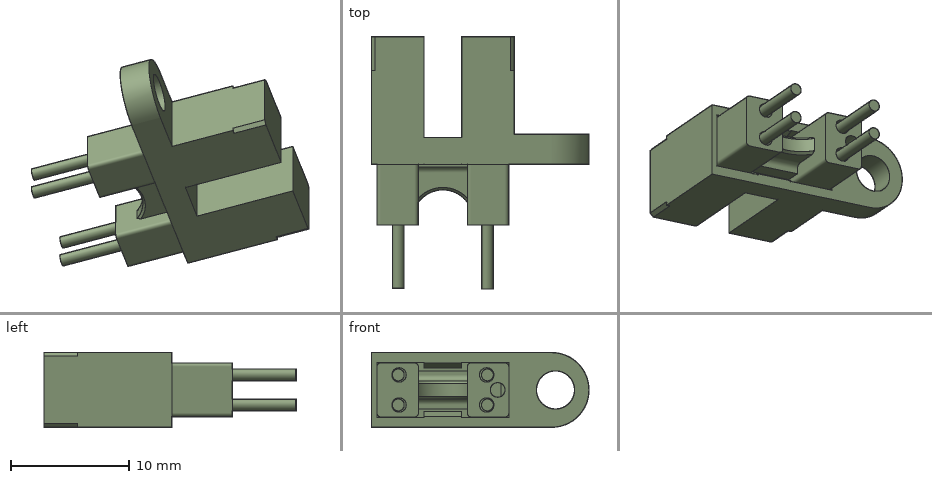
import cadquery as cq
import math


OVERALL_DEPTH = 21.35

HEIGHT = 6.35
LENGTH = 18.4
FORK_WIDTH = 12.08
FORK_REACH = 10.8
SLOT_WIDTH = 3.15
SLOT_FLOOR = 2.28
EAR_THICKNESS = 2.56
EAR_RADIUS = HEIGHT / 2
EAR_HOLE_DIAMETER = 3.2
EAR_HOLE_X = 15.56
TIP_CHAMFER = 0.32
TIP_CHAMFER_LENGTH = 2.85
MID_X = FORK_WIDTH / 2

POCKET_WIDTH = 11.15
POCKET_HEIGHT = 4.65
POCKET_DEPTH = 1.28
TAB_WIDTH = SLOT_WIDTH
TAB_RISE_REAR = 0.06
TAB_RISE_FLOOR = 0.5

BLOCK_WIDTH = 3.5
BLOCK_HEIGHT = 4.57
BLOCK_REACH = 5.12
BLOCK_FILLET = 0.32
BRIDGE_WIDTH = POCKET_WIDTH - 2 * BLOCK_WIDTH
BRIDGE_HALF_HEIGHT = 1.6
BRIDGE_STEP = 0.21
WEB_HALF_HEIGHT = 0.77
WEB_FILLET = 0.5
ARCH_RADIUS = 2.56
ARCH_TOP = 2.15
ARCH_CHAMFER = 0.21

LEAD_DIAMETER = 1.0
LEAD_PITCH_X = 7.54
LEAD_PITCH_Z = 2.55
LEAD_HOLE_DIAMETER = 1.22
LEAD_HOLE_PITCH_X = 7.4
LEAD_SEAT_Y = 0.0
LONG_LEAD_REACH = OVERALL_DEPTH - FORK_REACH
SHORT_LEAD_REACH = 10.48

KEY_HOLE_DIAMETER = 1.24
KEY_HOLE_X = 10.68
KEY_STEP_X = 10.95
KEY_SHALLOW_Y = 0.0


def box(x_min, x_max, y_min, y_max, height):
    """Box centred on Z = 0."""
    size_x = x_max - x_min
    size_y = y_max - y_min
    return cq.Workplane("XY").box(size_x, size_y, height).translate(
        ((x_min + x_max) / 2, (y_min + y_max) / 2, 0)
    )


def rod(x, z, diameter, y_min, y_max):
    """Cylinder along Y."""
    start = cq.Vector(x, y_min, z)
    along_y = cq.Vector(0, 1, 0)
    return cq.Workplane(cq.Solid.makeCylinder(diameter / 2, y_max - y_min, start, along_y))


def fork_blank():
    slot_left = MID_X - SLOT_WIDTH / 2
    slot_right = MID_X + SLOT_WIDTH / 2
    ear_x = LENGTH - EAR_RADIUS
    fork = box(0, FORK_WIDTH, 0, FORK_REACH, HEIGHT)
    slot = box(slot_left, slot_right, SLOT_FLOOR, FORK_REACH, HEIGHT)
    ear_root = box(slot_right, ear_x, 0, EAR_THICKNESS, HEIGHT)
    ear = rod(ear_x, 0, HEIGHT, 0, EAR_THICKNESS)
    ear_hole = rod(EAR_HOLE_X, 0, EAR_HOLE_DIAMETER, 0, EAR_THICKNESS)
    return fork.cut(slot).union(ear_root).union(ear).cut(ear_hole)


def tip_chamfer(side_x, inward, z_sign):
    """Triangular prism removed from one outer edge of a fork tip."""
    edge_z = z_sign * HEIGHT / 2
    corner = [
        (side_x, edge_z),
        (side_x + inward * TIP_CHAMFER, edge_z),
        (side_x, edge_z - z_sign * TIP_CHAMFER),
    ]
    tip_plane = cq.Workplane("XZ", origin=(0, FORK_REACH, 0))
    return tip_plane.polyline(corner).close().extrude(TIP_CHAMFER_LENGTH)


def snap_tab(z_sign):
    """Wedge on the pocket wall that grows towards the pocket floor."""
    wall_z = POCKET_HEIGHT / 2
    profile = [
        (0, z_sign * wall_z),
        (POCKET_DEPTH, z_sign * wall_z),
        (POCKET_DEPTH, z_sign * (wall_z - TAB_RISE_FLOOR)),
        (0, z_sign * (wall_z - TAB_RISE_REAR)),
    ]
    side_plane = cq.Workplane("YZ", origin=(MID_X, 0, 0))
    return side_plane.polyline(profile).close().extrude(TAB_WIDTH / 2, both=True)


def make_housing():
    pocket_left = MID_X - POCKET_WIDTH / 2
    pocket_right = MID_X + POCKET_WIDTH / 2
    housing = fork_blank().cut(box(pocket_left, pocket_right, 0, POCKET_DEPTH, POCKET_HEIGHT))
    for z_sign in (-1, 1):
        housing = housing.union(snap_tab(z_sign))
        housing = housing.cut(tip_chamfer(0, 1, z_sign))
        housing = housing.cut(tip_chamfer(FORK_WIDTH, -1, z_sign))
    return housing


def holder_block(side):
    outer_x = MID_X + side * POCKET_WIDTH / 2
    inner_x = outer_x - side * BLOCK_WIDTH
    block = box(min(outer_x, inner_x), max(outer_x, inner_x), -BLOCK_REACH, POCKET_DEPTH, BLOCK_HEIGHT)
    return block.edges("|Y").fillet(BLOCK_FILLET)


def bridge_blank():
    """Bridge section in YZ: thick bar, concave fillets, then a thinner web."""
    step_half = WEB_HALF_HEIGHT + WEB_FILLET
    web_start = -BRIDGE_STEP - WEB_FILLET
    arc_offset = WEB_FILLET * math.sqrt(0.5)
    arc_mid_y = web_start + arc_offset
    arc_mid_z = step_half - arc_offset
    profile = (
        cq.Workplane("YZ", origin=(MID_X, 0, 0))
        .moveTo(POCKET_DEPTH, -BRIDGE_HALF_HEIGHT)
        .lineTo(POCKET_DEPTH, BRIDGE_HALF_HEIGHT)
        .lineTo(-BRIDGE_STEP, BRIDGE_HALF_HEIGHT)
        .lineTo(-BRIDGE_STEP, step_half)
        .threePointArc((arc_mid_y, arc_mid_z), (web_start, WEB_HALF_HEIGHT))
        .lineTo(-BLOCK_REACH, WEB_HALF_HEIGHT)
        .lineTo(-BLOCK_REACH, -WEB_HALF_HEIGHT)
        .lineTo(web_start, -WEB_HALF_HEIGHT)
        .threePointArc((arc_mid_y, -arc_mid_z), (-BRIDGE_STEP, -step_half))
        .lineTo(-BRIDGE_STEP, -BRIDGE_HALF_HEIGHT)
        .close()
    )
    return profile.extrude(BRIDGE_WIDTH / 2, both=True)


def arch_cutter():
    """Round cut through the web, flared by a chamfer at both faces."""
    centre_y = -ARCH_TOP - ARCH_RADIUS
    waist_half = WEB_HALF_HEIGHT - ARCH_CHAMFER
    mouth_radius = ARCH_RADIUS + ARCH_CHAMFER
    section = [
        (0, -WEB_HALF_HEIGHT),
        (mouth_radius, -WEB_HALF_HEIGHT),
        (ARCH_RADIUS, -waist_half),
        (ARCH_RADIUS, waist_half),
        (mouth_radius, WEB_HALF_HEIGHT),
        (0, WEB_HALF_HEIGHT),
    ]
    cutter = cq.Workplane("XZ").polyline(section).close().revolve(360, (0, 0, 0), (0, 1, 0))
    return cutter.translate((MID_X, centre_y, 0))


def key_hole():
    radius = KEY_HOLE_DIAMETER / 2
    shallow = rod(KEY_HOLE_X, 0, KEY_HOLE_DIAMETER, -BLOCK_REACH, KEY_SHALLOW_Y)
    deep = rod(KEY_HOLE_X, 0, KEY_HOLE_DIAMETER, KEY_SHALLOW_Y, POCKET_DEPTH)
    deep_side = box(KEY_HOLE_X - radius, KEY_STEP_X, KEY_SHALLOW_Y, POCKET_DEPTH, KEY_HOLE_DIAMETER)
    return shallow.union(deep.intersect(deep_side))


def make_holder():
    holder = bridge_blank().cut(arch_cutter())
    for side in (-1, 1):
        holder = holder.union(holder_block(side))
    for side in (-1, 1):
        for z_sign in (-1, 1):
            hole_x = MID_X + side * LEAD_HOLE_PITCH_X / 2
            hole_z = z_sign * LEAD_PITCH_Z / 2
            holder = holder.cut(rod(hole_x, hole_z, LEAD_HOLE_DIAMETER, -BLOCK_REACH, LEAD_SEAT_Y))
    return holder.cut(key_hole())


def make_lead(side, z_sign, reach):
    """Lead standing on the floor of its clearance hole."""
    lead_x = MID_X + side * LEAD_PITCH_X / 2
    lead_z = z_sign * LEAD_PITCH_Z / 2
    return rod(lead_x, lead_z, LEAD_DIAMETER, -reach, LEAD_SEAT_Y)


housing = make_housing()
holder = make_holder()
leads = []
for side, reach in ((-1, SHORT_LEAD_REACH), (1, LONG_LEAD_REACH)):
    for z_sign in (-1, 1):
        leads.append(make_lead(side, z_sign, reach).val())

result = cq.Compound.makeCompound([housing.val(), holder.val(), *leads])